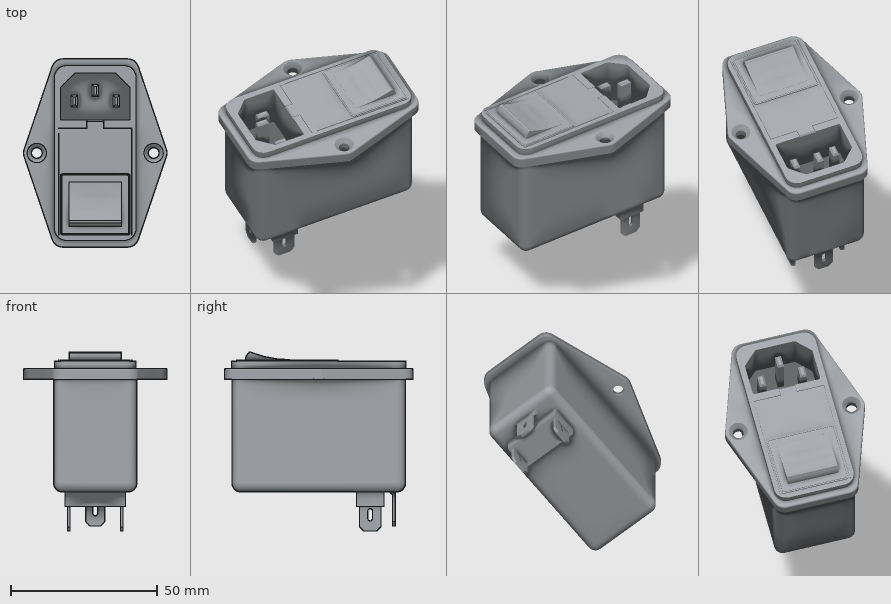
import cadquery as cq
import math


BODY_X = 28.5
BODY_Y = 59.4
BODY_DEPTH = 38.5
BODY_RADIUS = 2.95

FLANGE_LENGTH = 64.5
FLANGE_WIDTH = 49.15
FLANGE_THICKNESS = 3.75
FLANGE_RADIUS = 4.0
FLANGE_EDGE_RADIUS = 0.5
FLANGE_END_HALF_WIDTH = 13.85

SCREW_X = 20.0
SCREW_HOLE_DIAMETER = 3.6
SCREW_HEAD_DIAMETER = 6.6
SCREW_HEAD_ANGLE = 90.0

FACE_X = 27.9
FACE_Y = 59.8
FACE_RADIUS = 4.05
FACE_HEIGHT = 2.5
FACE_TOP = FLANGE_THICKNESS + FACE_HEIGHT
OVERLAP = 0.65

RECESS_X = 23.85
RECESS_TOP_Y = 27.35
RECESS_BOTTOM_Y = 11.2
RECESS_SLANT = 4.95
RECESS_RADIUS = 0.65
RECESS_SLANT_RADIUS = 1.0
RECESS_DEPTH = 16.0

PIN_X = 2.2
PIN_Y = 4.1
PIN_TIP_CHAMFER = 0.65
EARTH_PIN_BELOW_FACE = 0.2
LINE_PIN_BELOW_FACE = 4.5
PIN_SPACING = 7.15
LINE_PIN_Y = 17.8
EARTH_PIN_Y = 21.35

DRAWER_HALF_WIDTH = 12.5
DRAWER_TOP_Y = 8.65
GROOVE_WIDTH = 0.2
GROOVE_DEPTH = 0.5
LATCH_HALF_WIDTH = 2.95
LATCH_CHAMFER = 0.45
RIB_TOP_Y = 6.65

FRAME_X = 23.85
FRAME_TOP_Y = -7.0
FRAME_BOTTOM_Y = -28.1
FRAME_HEIGHT = 0.45
FRAME_RADIUS = 0.95
SEAM_INSET = 0.4
SEAM_WIDTH = 0.1
FRAME_TOP = FACE_TOP + FRAME_HEIGHT
ROCKER_X = 17.9
ROCKER_TOP_Y = -9.95
ROCKER_BOTTOM_Y = -25.15
ROCKER_LIP = 0.05
ROCKER_HEIGHT = 2.7
CREST_Y = -23.0
CREST_DROP = 0.2
PEAK_Y = -23.4
NOSE_Y = -24.0
NOSE_DROP = 0.4
NOSE_BULGE = 0.2

BLOCK_X = 20.85
BLOCK_Y = 9.5
BLOCK_HEIGHT = 5.0
BLOCK_BOTTOM = -BODY_DEPTH - BLOCK_HEIGHT
BLADE_CENTRE_Y = 17.6
BLADE_THICKNESS = 0.95
BLADE_WIDTH = 7.4
BLADE_LENGTH = 8.4
BLADE_BOTTOM = BLOCK_BOTTOM - BLADE_LENGTH
BLADE_SPACING = 9.1
BLADE_CHAMFER = 1.5
SLOT_WIDTH = 1.55
SLOT_LENGTH = 4.1
SLOT_ABOVE_TIP = 3.55

EARTH_WIDTH = 6.6
EARTH_BOTTOM = -50.2
EARTH_OUTER_Y = 26.2
EARTH_ROOT_RADIUS = 1.9
EARTH_GUSSET = 0.95


def upright_box(size_x, size_y, bottom, height, centre_x=0.0, centre_y=0.0):
    """Box with a given bottom level, centred in plan on the given point."""
    return (
        cq.Workplane("XY", origin=(centre_x, centre_y, bottom))
        .rect(size_x, size_y)
        .extrude(height)
    )


def make_body():
    body = upright_box(BODY_X, BODY_Y, -BODY_DEPTH, BODY_DEPTH + OVERLAP)
    body = body.edges("|Z").fillet(BODY_RADIUS)
    return body.faces("<Z").edges().fillet(BODY_RADIUS)


def make_flange():
    half_length = FLANGE_LENGTH / 2
    half_width = FLANGE_WIDTH / 2
    slant = math.atan((half_width - FLANGE_END_HALF_WIDTH) / half_length)
    tip_x = half_width + FLANGE_RADIUS * (1 / math.cos(slant) - 1)
    outline = [
        (tip_x, 0),
        (FLANGE_END_HALF_WIDTH, half_length),
        (-FLANGE_END_HALF_WIDTH, half_length),
        (-tip_x, 0),
        (-FLANGE_END_HALF_WIDTH, -half_length),
        (FLANGE_END_HALF_WIDTH, -half_length),
    ]
    flange = cq.Workplane("XY").polyline(outline).close().extrude(FLANGE_THICKNESS)
    flange = flange.edges("|Z").fillet(FLANGE_RADIUS)
    flange = flange.faces(">Z").edges().fillet(FLANGE_EDGE_RADIUS)
    return (
        flange.faces(">Z")
        .workplane(origin=(0, 0, FLANGE_THICKNESS))
        .pushPoints([(-SCREW_X, 0), (SCREW_X, 0)])
        .cskHole(SCREW_HOLE_DIAMETER, SCREW_HEAD_DIAMETER, SCREW_HEAD_ANGLE)
    )


def make_face():
    face = upright_box(FACE_X, FACE_Y, FLANGE_THICKNESS - OVERLAP, FACE_HEIGHT + OVERLAP)
    return face.edges("|Z").fillet(FACE_RADIUS)


def make_recess():
    half = RECESS_X / 2
    outline = [
        (-half, RECESS_BOTTOM_Y),
        (half, RECESS_BOTTOM_Y),
        (half, RECESS_TOP_Y - RECESS_SLANT),
        (half - RECESS_SLANT, RECESS_TOP_Y),
        (-half + RECESS_SLANT, RECESS_TOP_Y),
        (-half, RECESS_TOP_Y - RECESS_SLANT),
    ]
    recess = cq.Workplane("XY", origin=(0, 0, FACE_TOP)).polyline(outline).close()
    recess = recess.extrude(-RECESS_DEPTH)
    recess = recess.edges("|Z and <Y").fillet(RECESS_RADIUS)
    slanted_corners = cq.selectors.BoxSelector(
        (-half - OVERLAP, RECESS_TOP_Y - RECESS_SLANT - OVERLAP, FACE_TOP - RECESS_DEPTH),
        (half + OVERLAP, RECESS_TOP_Y + OVERLAP, FACE_TOP),
    )
    return recess.edges("|Z").edges(slanted_corners).fillet(RECESS_SLANT_RADIUS)


def make_pin(x, y, top_below_face):
    bottom = FACE_TOP - RECESS_DEPTH - OVERLAP
    height = RECESS_DEPTH + OVERLAP - top_below_face
    pin = upright_box(PIN_X, PIN_Y, bottom, height, x, y)
    return pin.faces(">Z").edges().chamfer(PIN_TIP_CHAMFER)


def make_pins():
    pins = make_pin(0, EARTH_PIN_Y, EARTH_PIN_BELOW_FACE)
    for x in (-PIN_SPACING, PIN_SPACING):
        pins = pins.add(make_pin(x, LINE_PIN_Y, LINE_PIN_BELOW_FACE))
    return pins.combine()


def make_drawer_grooves():
    """Groove along the drawer's top edge, up both sides of its latch and down one corner."""
    bottom = FACE_TOP - GROOVE_DEPTH
    run = DRAWER_HALF_WIDTH - LATCH_HALF_WIDTH + GROOVE_WIDTH
    run_centre = DRAWER_HALF_WIDTH - run / 2
    latch_length = RECESS_BOTTOM_Y - DRAWER_TOP_Y + GROOVE_WIDTH
    latch_centre_y = DRAWER_TOP_Y - GROOVE_WIDTH + latch_length / 2
    corner_length = DRAWER_TOP_Y - RIB_TOP_Y
    grooves = upright_box(
        GROOVE_WIDTH, corner_length, bottom, GROOVE_DEPTH,
        DRAWER_HALF_WIDTH - GROOVE_WIDTH / 2, RIB_TOP_Y + corner_length / 2,
    )
    for side in (-1, 1):
        across = upright_box(
            run, GROOVE_WIDTH, bottom, GROOVE_DEPTH,
            side * run_centre, DRAWER_TOP_Y - GROOVE_WIDTH / 2,
        )
        beside_latch = upright_box(
            GROOVE_WIDTH, latch_length, bottom, GROOVE_DEPTH,
            side * (LATCH_HALF_WIDTH - GROOVE_WIDTH / 2), latch_centre_y,
        )
        grooves = grooves.union(across).union(beside_latch)
    return grooves


def make_latch_bevel():
    """Bevel where the latch meets the recess wall."""
    width = 2 * (LATCH_HALF_WIDTH - GROOVE_WIDTH)
    corner = [
        (RECESS_BOTTOM_Y, FACE_TOP),
        (RECESS_BOTTOM_Y - LATCH_CHAMFER, FACE_TOP),
        (RECESS_BOTTOM_Y, FACE_TOP - LATCH_CHAMFER),
    ]
    return cq.Workplane("YZ").polyline(corner).close().extrude(width / 2, both=True)


def make_drawer_ribs():
    length = RIB_TOP_Y - FRAME_BOTTOM_Y
    ribs = cq.Workplane("XY")
    for side in (-1, 1):
        rib = upright_box(
            GROOVE_WIDTH, length, FACE_TOP - OVERLAP, FRAME_HEIGHT + OVERLAP,
            side * (DRAWER_HALF_WIDTH - GROOVE_WIDTH / 2), RIB_TOP_Y - length / 2,
        )
        ribs = ribs.add(rib)
    return ribs.combine()


def make_switch_frame():
    length = FRAME_TOP_Y - FRAME_BOTTOM_Y
    centre_y = FRAME_TOP_Y - length / 2

    def rounded_panel(inset, height):
        panel = upright_box(
            FRAME_X - 2 * inset, length - 2 * inset, FRAME_TOP - height, height, 0, centre_y
        )
        return panel.edges("|Z").fillet(FRAME_RADIUS - inset)

    frame = rounded_panel(0, FRAME_HEIGHT + OVERLAP)
    seam = rounded_panel(SEAM_INSET, FRAME_HEIGHT).cut(
        rounded_panel(SEAM_INSET + SEAM_WIDTH, FRAME_HEIGHT)
    )
    return frame.cut(seam)


def hollow_middle(peak):
    """Midpoint of the arc that leaves the lip level and ends at the crest."""
    run = ROCKER_TOP_Y - CREST_Y
    rise = peak - CREST_DROP - FRAME_TOP - ROCKER_LIP
    radius = (run**2 + rise**2) / (2 * rise)
    half_angle = math.asin(run / radius) / 2
    y = ROCKER_TOP_Y - radius * math.sin(half_angle)
    z = FRAME_TOP + ROCKER_LIP + radius * (1 - math.cos(half_angle))
    return (y, z)


def make_rocker():
    """Dished rocker: a hollow sweeping up to a rounded crest, then a bulging end face."""
    base = FRAME_TOP - OVERLAP
    peak = FRAME_TOP + ROCKER_HEIGHT
    nose_z = peak - NOSE_DROP
    end_middle = (
        (NOSE_Y + ROCKER_BOTTOM_Y) / 2 - NOSE_BULGE,
        (nose_z + FRAME_TOP) / 2 + NOSE_BULGE,
    )
    profile = (
        cq.Workplane("YZ")
        .moveTo(ROCKER_TOP_Y, base)
        .lineTo(ROCKER_TOP_Y, FRAME_TOP + ROCKER_LIP)
        .threePointArc(hollow_middle(peak), (CREST_Y, peak - CREST_DROP))
        .threePointArc((PEAK_Y, peak), (NOSE_Y, nose_z))
        .threePointArc(end_middle, (ROCKER_BOTTOM_Y, FRAME_TOP))
        .lineTo(ROCKER_BOTTOM_Y, base)
        .close()
    )
    return profile.extrude(ROCKER_X / 2, both=True)


def make_block():
    return upright_box(
        BLOCK_X, BLOCK_Y, BLOCK_BOTTOM, BLOCK_HEIGHT + OVERLAP, 0, BLADE_CENTRE_Y
    )


def make_blade(plane, centre, width, bottom, top, thickness):
    """Flat terminal with a chamfered tip and a rounded slot, centred on its plane."""
    half = width / 2
    outline = [
        (centre - half, top),
        (centre + half, top),
        (centre + half, bottom + BLADE_CHAMFER),
        (centre + half - BLADE_CHAMFER, bottom),
        (centre - half + BLADE_CHAMFER, bottom),
        (centre - half, bottom + BLADE_CHAMFER),
    ]
    blade = cq.Workplane(plane).polyline(outline).close().extrude(thickness / 2, both=True)
    slot = (
        cq.Workplane(plane)
        .center(centre, bottom + SLOT_ABOVE_TIP + SLOT_LENGTH / 2)
        .slot2D(SLOT_LENGTH, SLOT_WIDTH, 90)
        .extrude(thickness, both=True)
    )
    return blade.cut(slot)


def make_blades():
    blade = make_blade(
        "YZ", BLADE_CENTRE_Y, BLADE_WIDTH, BLADE_BOTTOM, BLOCK_BOTTOM + OVERLAP, BLADE_THICKNESS
    )
    left = blade.translate((-BLADE_SPACING, 0, 0))
    right = blade.translate((BLADE_SPACING, 0, 0))
    return left.add(right).combine()


def make_earth_terminal():
    root = -BODY_DEPTH
    centre_y = EARTH_OUTER_Y - BLADE_THICKNESS / 2
    blade = make_blade("XZ", 0, EARTH_WIDTH, EARTH_BOTTOM, root + OVERLAP, BLADE_THICKNESS)
    return blade.translate((0, centre_y, 0)).union(make_earth_root())


def make_earth_root():
    """Foot of the earth terminal: flared sides and a sloping gusset on the inner face."""
    root = -BODY_DEPTH
    half = EARTH_WIDTH / 2
    flare = half + EARTH_ROOT_RADIUS
    bend = EARTH_ROOT_RADIUS * (1 - math.sqrt(0.5))
    foot = EARTH_OUTER_Y - BLADE_THICKNESS - EARTH_GUSSET
    front = (
        cq.Workplane("XZ", origin=(0, EARTH_OUTER_Y, 0))
        .moveTo(-flare, root)
        .threePointArc((-half - bend, root - bend), (-half, root - EARTH_ROOT_RADIUS))
        .lineTo(half, root - EARTH_ROOT_RADIUS)
        .threePointArc((half + bend, root - bend), (flare, root))
        .lineTo(flare, root + OVERLAP)
        .lineTo(-flare, root + OVERLAP)
        .close()
        .extrude(EARTH_OUTER_Y - foot)
    )
    side = [
        (EARTH_OUTER_Y, root + OVERLAP),
        (foot, root + OVERLAP),
        (foot, root),
        (foot + EARTH_GUSSET, root - EARTH_GUSSET),
        (foot + EARTH_GUSSET, root - EARTH_ROOT_RADIUS),
        (EARTH_OUTER_Y, root - EARTH_ROOT_RADIUS),
    ]
    return front.intersect(cq.Workplane("YZ").polyline(side).close().extrude(flare, both=True))


housing = make_body().union(make_flange()).union(make_face())
housing = housing.cut(make_recess()).cut(make_drawer_grooves()).cut(make_latch_bevel())
housing = housing.union(make_pins())

switch = make_switch_frame().union(make_rocker())
terminals = make_block().union(make_blades()).union(make_earth_terminal())

result = housing.union(make_drawer_ribs()).union(switch).union(terminals)